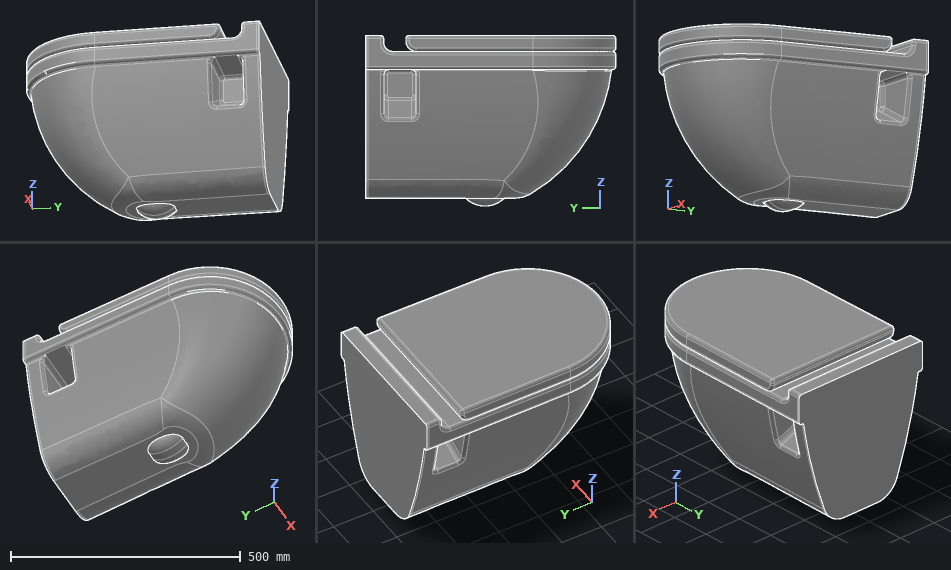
import cadquery as cq
import math


total_height = 355.0
lid_thickness = 35.0
rim_thickness = 40.0
rim_top = total_height - lid_thickness
rim_bottom = rim_top - rim_thickness

depth = 545.0
rear_half_width = 365.0 / 2
nose_radius = 180.0
nose_center_y = nose_radius - depth
wall_strip = 5.0
side_draft = rear_half_width - nose_radius
edge_radius = 7.5

riser_depth = 39.5
cove_radius = 20.0

lid_rear_y = -87.5
lid_heel_radius = 22.5

side_arc = (1240.0, 471.5, 184.4)
reach_arc = (360.5, 320.7, 538.2)
straight_arc = (233.2, 208.6, 375.4)
bowl_steps = 8
foot_radius = 63.0
neck_radius = 2.5

pocket_rear_y = -40.0
pocket_width = 70.0
pocket_inner_x = 50.0
pocket_outer_x = 220.0
pocket_inner_floor_z = 214.5
pocket_floor_angle = 23.0
pocket_corner_radius = 10.0

trap_radius = 60.0
trap_rim_radius = 55.0 / 2
trap_flat_width = 20.0
trap_y = -260.0
trap_drop = 17.23

tolerance = 0.01


def same(first, second):
    return abs(first - second) < tolerance


def plan_slab(bottom_z, top_z):
    """U-shaped plate with a round nose, slightly narrower at the nose than at the wall."""
    return (
        cq.Workplane("XY", origin=(0, 0, bottom_z))
        .moveTo(-rear_half_width, 0)
        .lineTo(-rear_half_width, -wall_strip)
        .lineTo(-nose_radius, nose_center_y)
        .threePointArc((0, -depth), (nose_radius, nose_center_y))
        .lineTo(rear_half_width, -wall_strip)
        .lineTo(rear_half_width, 0)
        .close()
        .extrude(top_z - bottom_z)
    )


def is_rounded(edge):
    """True for the sharp edges of a slab, except those in the wall face."""
    box = edge.BoundingBox()
    is_upright = box.xlen < tolerance and box.ylen < tolerance
    if is_upright and (same(box.ymin, -wall_strip) or same(box.ymin, nose_center_y)):
        return False
    if box.ylen < tolerance and same(box.ymin, 0):
        return False
    crosses_width = box.xlen > nose_radius and box.ylen < tolerance
    return not crosses_width or same(box.zmin, total_height)


def make_rim():
    cove_end_y = -riser_depth - cove_radius
    seat_cut = (
        cq.Workplane("YZ")
        .moveTo(-riser_depth, total_height)
        .lineTo(-riser_depth, rim_top + cove_radius)
        .radiusArc((cove_end_y, rim_top), cove_radius)
        .lineTo(-depth, rim_top)
        .lineTo(-depth, total_height)
        .close()
        .extrude(rear_half_width, both=True)
    )
    rim = plan_slab(rim_bottom, total_height).cut(seat_cut)
    return rim.edges().filter(is_rounded).fillet(edge_radius)


def make_lid():
    rear_cut = cq.Workplane("XY").box(
        2 * rear_half_width, -lid_rear_y, total_height, centered=(True, False, False)
    ).translate((0, lid_rear_y, 0))
    lid = plan_slab(rim_top, total_height).cut(rear_cut)
    lid = lid.faces(">Y").edges("<Z").fillet(lid_heel_radius)
    return lid.edges().filter(is_rounded).fillet(edge_radius)


def arc_distance(arc, z):
    radius, center_z, largest = arc
    return largest - radius + math.sqrt(radius**2 - (z - center_z) ** 2)


def bowl_section(z):
    """Level section: a strip at the wall, drafted sides and a half-elliptical nose."""
    rear = arc_distance(side_arc, z)
    front = rear - side_draft
    straight = arc_distance(straight_arc, z)
    nose = arc_distance(reach_arc, z) - straight
    return (
        cq.Workplane("XY", origin=(0, 0, z))
        .moveTo(rear, 0)
        .lineTo(-rear, 0)
        .lineTo(-rear, -wall_strip)
        .lineTo(-front, -straight)
        .ellipseArc(front, nose, 180, 360, startAtCurrent=True)
        .lineTo(rear, -wall_strip)
        .close()
        .val()
    )


def make_bowl():
    levels = [rim_bottom * step / bowl_steps for step in range(bowl_steps + 1)]
    bowl = cq.Workplane(cq.Solid.makeLoft([bowl_section(z) for z in levels]))
    return bowl.faces("<Z").edges("not >Y").fillet(foot_radius)


def is_neck(edge):
    """True for the corner where the bowl wall meets the underside of the rim."""
    box = edge.BoundingBox()
    is_level = box.zlen < tolerance and same(box.zmin, rim_bottom)
    reach = arc_distance(reach_arc, rim_bottom)
    half_width = arc_distance(side_arc, rim_bottom)
    inside = box.ymin > -reach - tolerance and box.xmin > -half_width - tolerance
    return is_level and inside and box.ylen > tolerance


def pocket_cutter():
    """Pocket on the -x side: its floor falls outward and its ceiling is the rim's underside."""
    run = pocket_outer_x - pocket_inner_x
    outer_floor_z = pocket_inner_floor_z - run * math.tan(math.radians(pocket_floor_angle))
    cutter = (
        cq.Workplane("XZ", origin=(0, pocket_rear_y, 0))
        .moveTo(-pocket_inner_x, rim_bottom)
        .lineTo(-pocket_inner_x, pocket_inner_floor_z)
        .lineTo(-pocket_outer_x, outer_floor_z)
        .lineTo(-pocket_outer_x, rim_bottom)
        .close()
        .extrude(pocket_width)
    )
    cutter = cutter.edges("not(|Z or |Y)").fillet(pocket_corner_radius)
    return cutter.faces(">X").edges().fillet(edge_radius)


def is_pocket_mouth(edge):
    """True for the open edges of the pockets, apart from the ones along the neck."""
    box = edge.BoundingBox()
    beside_pocket = (
        box.ymax < pocket_rear_y + tolerance
        and box.ymin > pocket_rear_y - pocket_width - tolerance
    )
    in_wall = abs(box.center.x) > 2 * pocket_inner_x and box.xlen < pocket_inner_x
    above_foot = box.zmin > foot_radius
    below_neck = box.zmin < rim_bottom - neck_radius - tolerance
    return beside_pocket and in_wall and above_foot and below_neck


def make_housing(trap):
    housing = make_rim().union(make_bowl())
    housing = housing.edges().filter(is_neck).fillet(neck_radius)
    pocket = pocket_cutter()
    housing = housing.cut(pocket).cut(pocket.mirror("YZ"))
    housing = housing.edges().filter(is_pocket_mouth).fillet(edge_radius)
    return housing.cut(trap)


def make_trap():
    half_flat = trap_flat_width / 2
    half_width = half_flat + trap_rim_radius
    shoulder = trap_radius - trap_rim_radius
    disc = (
        cq.Workplane("XY")
        .moveTo(-half_width, 0)
        .lineTo(-half_width, shoulder)
        .radiusArc((-half_flat, trap_radius), trap_rim_radius)
        .lineTo(half_flat, trap_radius)
        .radiusArc((half_width, shoulder), trap_rim_radius)
        .lineTo(half_width, 0)
        .close()
        .revolve(360, (0, 0, 0), (1, 0, 0))
    )
    return disc.translate((0, trap_y, trap_radius - trap_drop))


trap = make_trap()
housing = make_housing(trap)
lid = make_lid()

result = cq.Compound.makeCompound([housing.val(), lid.val(), trap.val()])